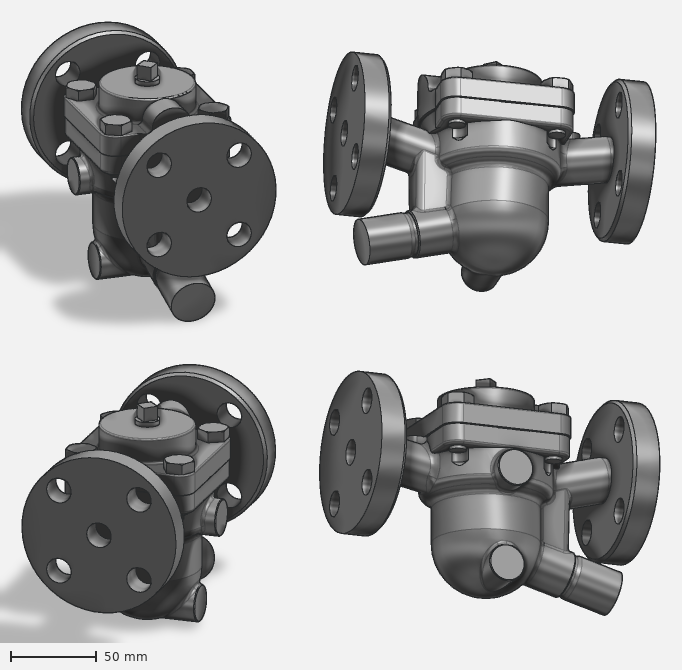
import cadquery as cq
import math


flange_diameter = 95.0
flange_thickness = 16.3
flange_chamfer = 1.8
overall_length = 175.0
flange_left_face = -85.0
flange_right_face = flange_left_face + overall_length
flange_hole_diameter = 15.0
flange_hole_spacing = 49.4
bore_diameter = 15.0
bore_depth = flange_thickness

pipe_radius = 13.5
pipe_stub = 2.1
left_pipe_tilt = 10.5
right_pipe_tilt = 15.0
pipe_end_offset = 21.0

collar_radius = 39.2
barrel_radius = 31.8
collar_bottom = -14.7
barrel_top = -25.0
dome_centre = -46.0

cover_width = 80.2
plate_width = 79.1
cover_top = 25.7
cover_bottom = 13.5
plate_top = 13.0
plate_bottom = 1.0
plate_corner = 9.5
cover_edge = 0.9
plate_edge = 2.0
bulge_half_width = 20.1
cover_bulge_radius = 44.3
plate_bulge_radius = 42.9

cap_diameter = 56.5
cap_top = 41.1
cap_edge = 1.0
cap_root_fillet = 1.5
arch_radius = 12.0
arch_root_fillet = 3.0
spindle_diameter = 14.4
spindle_collar_top = 44.0
spindle_square = 9.0
spindle_top = 52.3

bolt_spacing = 60.2
bolt_head_flats = 16.5
bolt_head_height = 6.5
bolt_head_chamfer_height = 0.5
bolt_head_chamfer_width = 0.9
bolt_diameter = 10.0
bolt_end = -0.9
bolt_hole_radius = 6.3
bolt_hole_bottom = -6.1
bolt_hole_tip = -12.2

boss_diameter = 22.0
boss_edge = 0.5
upper_boss_level = -11.7
upper_boss_face = -45.8
lower_boss_level = -66.0
lower_boss_face = -32.9
boss_fillet = 2.1

branch_tilt = 15.0
branch_end_x = 79.5
branch_end_z = -67.5
branch_length = 73.5
hub_radius = 14.0
hub_end = 30.5
hub_chamfer = 0.7
neck_radius = 12.8
neck_end = 28.7
tube_radius = 13.5
tube_start = 26.2

rib_top_width = 26.2
rib_bottom_width = 20.6
rib_end = 48.8
rib_top = -7.0
rib_bottom = -57.8
rib_corner = 4.2
lug_radius = 6.0
lug_end = -51.6
lug_top = 12.8

branch_fillet = 3.5
rib_fillet = 2.6
left_pipe_fillet = 5.2
right_pipe_fillet = 2.6


def blend(base, addition, radius):
    """Join two solids and round the edges where their surfaces meet."""
    old = base.edges().vals() + addition.edges().vals()
    joined = base.union(addition)
    seam = [
        edge for edge in joined.edges().vals()
        if all((edge.Center() - other.Center()).Length > 0.02 for other in old)
    ]
    return joined.newObject(seam).fillet(radius)


def cylinder(radius, length, start, direction):
    return cq.Workplane(cq.Solid.makeCylinder(radius, length, cq.Vector(*start), cq.Vector(*direction)))


def make_flange(outer_face, inward):
    flange = cylinder(flange_diameter / 2, flange_thickness, (outer_face, 0, 0), (inward, 0, 0))
    flange = flange.faces(">X" if inward > 0 else "<X").chamfer(flange_chamfer)
    half_spacing = flange_hole_spacing / 2
    for y in (-half_spacing, half_spacing):
        for z in (-half_spacing, half_spacing):
            hole = cylinder(flange_hole_diameter / 2, flange_thickness, (outer_face, y, z), (inward, 0, 0))
            flange = flange.cut(hole)
    bore = cylinder(bore_diameter / 2, bore_depth, (outer_face, 0, 0), (inward, 0, 0))
    return flange.cut(bore)


def make_pipe(outer_face, inward, tilt):
    """Short level stub at the flange, mitred to a tilted run down into the body."""
    face = outer_face + inward * flange_thickness
    bend = face + inward * pipe_stub
    end = -inward * pipe_end_offset
    drop = abs(end - bend) * math.tan(math.radians(tilt))
    path = cq.Workplane("XZ").polyline([(face, 0), (bend, 0), (end, -drop)])
    return cq.Workplane("YZ", origin=(face, 0, 0)).circle(pipe_radius).sweep(path, transition="right")


def make_body():
    step_middle = ((collar_radius + barrel_radius) / 2, (collar_bottom + barrel_top) / 2)
    dome_middle = barrel_radius * math.sqrt(0.5)
    return (
        cq.Workplane("XZ")
        .moveTo(0, cover_bottom)
        .lineTo(collar_radius, cover_bottom)
        .lineTo(collar_radius, collar_bottom)
        .tangentArcPoint(step_middle, relative=False)
        .tangentArcPoint((barrel_radius, barrel_top), relative=False)
        .lineTo(barrel_radius, dome_centre)
        .threePointArc((dome_middle, dome_centre - dome_middle), (0, dome_centre - barrel_radius))
        .close()
        .revolve(360, (0, 0, 0), (0, 1, 0))
    )


def make_boss(level, face):
    boss = cylinder(boss_diameter / 2, -face, (0, face, level), (0, 1, 0))
    return boss.faces("<Y").chamfer(boss_edge)


def make_branch():
    """Hub, weld neck and tube, turned about the branch axis and measured back from the open end."""
    profile = (
        cq.Workplane("XY")
        .moveTo(0, 0)
        .lineTo(0, tube_radius)
        .lineTo(-tube_start, tube_radius)
        .lineTo(-neck_end, neck_radius)
        .lineTo(-hub_end, neck_radius)
        .lineTo(-hub_end, hub_radius - hub_chamfer)
        .lineTo(-hub_end - hub_chamfer, hub_radius)
        .lineTo(-branch_length, hub_radius)
        .lineTo(-branch_length, 0)
        .close()
    )
    branch = profile.revolve(360, (0, 0, 0), (1, 0, 0))
    return branch.rotate((0, 0, 0), (0, 1, 0), branch_tilt).translate((branch_end_x, 0, branch_end_z))


def make_rib():
    """Web between the right pipe and the drain branch, narrowing downwards."""
    section = (
        cq.Workplane("YZ")
        .moveTo(-rib_top_width / 2, rib_top)
        .lineTo(rib_top_width / 2, rib_top)
        .lineTo(rib_bottom_width / 2, rib_bottom)
        .lineTo(-rib_bottom_width / 2, rib_bottom)
        .close()
    )
    web = section.extrude(rib_end)
    return web.faces(">X").edges("not |Y").fillet(rib_corner)


def make_lug():
    lug = cylinder(lug_radius, lug_top, (lug_end + lug_radius, 0, 0), (0, 0, 1))
    web = cq.Workplane("XY").box(-lug_end - lug_radius, 2 * lug_radius, lug_top, centered=(False, True, False))
    return lug.union(web.translate((lug_end + lug_radius, 0, 0)))


def make_plate(width, bottom, top):
    plate = cq.Workplane("XY").workplane(offset=bottom).rect(width, width).extrude(top - bottom)
    return plate.edges("|Z").fillet(plate_corner)


def make_bulge(radius, bottom, top):
    """Round bulge beyond the +X side of a plate."""
    disc = cylinder(radius, top - bottom, (0, 0, bottom), (0, 0, 1))
    limit = cq.Workplane("XY").box(radius, 2 * bulge_half_width, top, centered=(False, True, False))
    return disc.intersect(limit)


def make_arch():
    """Arched passage from the cap to the bulge, with flared feet on the cover."""
    foot = arch_radius + arch_root_fillet
    spring = cover_top + arch_root_fillet
    flare = arch_root_fillet * (1 - math.sqrt(0.5))
    arch = (
        cq.Workplane("YZ")
        .moveTo(-foot, cover_bottom)
        .lineTo(-foot, cover_top)
        .threePointArc((-arch_radius - flare, cover_top + flare), (-arch_radius, spring))
        .threePointArc((0, spring + arch_radius), (arch_radius, spring))
        .threePointArc((arch_radius + flare, cover_top + flare), (foot, cover_top))
        .lineTo(foot, cover_bottom)
        .close()
        .extrude(cover_bulge_radius)
    )
    return arch.intersect(cylinder(cover_bulge_radius, cap_top, (0, 0, 0), (0, 0, 1)))


def make_cover():
    cover = make_plate(cover_width, cover_bottom, cover_top).faces(">Z").edges().fillet(cover_edge)
    cover = cover.union(make_bulge(cover_bulge_radius, cover_bottom, cover_top))
    cap = cylinder(cap_diameter / 2, cap_top - cover_bottom, (0, 0, cover_bottom), (0, 0, 1))
    cap = cap.faces(">Z").edges().fillet(cap_edge)
    return blend(cover, cap, cap_root_fillet).union(make_arch())


def make_body_plate():
    plate = make_plate(plate_width, plate_bottom, plate_top).faces("<Z").edges().fillet(plate_edge)
    return plate.union(make_bulge(plate_bulge_radius, plate_bottom, plate_top))


def make_spindle():
    collar = cylinder(spindle_diameter / 2, spindle_collar_top - cap_top, (0, 0, cap_top), (0, 0, 1))
    square = (
        cq.Workplane("XY")
        .workplane(offset=cap_top)
        .rect(spindle_square, spindle_square)
        .extrude(spindle_top - cap_top)
        .rotate((0, 0, 0), (0, 0, 1), 45)
    )
    return collar.union(square)


def make_bolt(x, y):
    corner_diameter = bolt_head_flats / math.cos(math.pi / 6)
    head = cq.Workplane("XY").polygon(6, corner_diameter).extrude(bolt_head_height)
    dome = cylinder(corner_diameter / 2, bolt_head_height, (0, 0, 0), (0, 0, 1))
    head = head.intersect(dome.faces(">Z").chamfer(bolt_head_chamfer_height, bolt_head_chamfer_width))
    if x * y > 0:
        head = head.rotate((0, 0, 0), (0, 0, 1), 90)
    shank = cylinder(bolt_diameter / 2, cover_top - bolt_end, (0, 0, bolt_end - cover_top), (0, 0, 1))
    return head.union(shank).translate((x, y, cover_top))


def make_bolt_hole(x, y):
    return (
        cq.Workplane("XZ")
        .moveTo(0, plate_top)
        .lineTo(bolt_hole_radius, plate_top)
        .lineTo(bolt_hole_radius, bolt_hole_bottom)
        .lineTo(0, bolt_hole_tip)
        .close()
        .revolve(360, (0, 0, 0), (0, 1, 0))
        .translate((x, y, 0))
    )


bolt_places = [(sx * bolt_spacing / 2, sy * bolt_spacing / 2) for sx in (-1, 1) for sy in (-1, 1)]

left_pipe = make_pipe(flange_left_face, 1, left_pipe_tilt)
right_pipe = make_pipe(flange_right_face, -1, right_pipe_tilt)

body = make_body()
body = blend(body, make_boss(upper_boss_level, upper_boss_face), boss_fillet)
body = blend(body, make_boss(lower_boss_level, lower_boss_face), boss_fillet)
body = blend(body, make_branch(), branch_fillet)
body = blend(body, left_pipe, left_pipe_fillet)
body = blend(body, right_pipe, right_pipe_fillet)
body = blend(body, make_rib(), rib_fillet)
body = body.union(make_lug())
for x, y in bolt_places:
    body = body.cut(make_bolt_hole(x, y))
result = body.union(make_body_plate()).union(make_cover()).union(make_spindle())
for x, y in bolt_places:
    result = result.union(make_bolt(x, y))
result = result.union(make_flange(flange_left_face, 1)).union(make_flange(flange_right_face, -1))